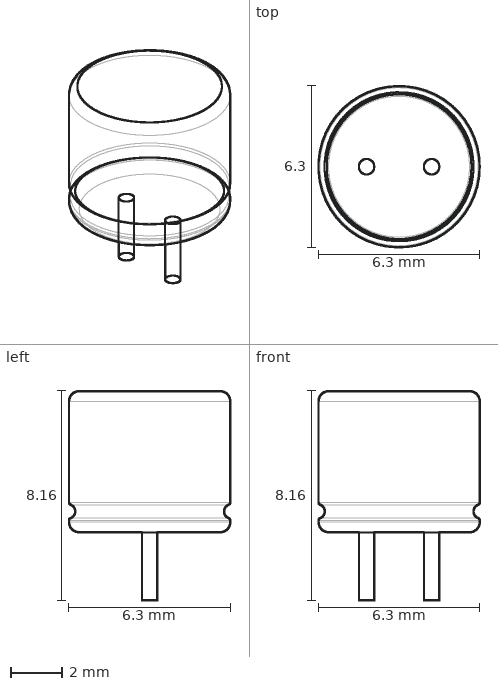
import cadquery as cq
import math

total_height = 8.16
can_radius = 3.15
lead_length = 2.65
edge_radius = 0.4

lead_diameter = 0.6
lead_spacing = 2.54
lead_embed = 0.16

groove_z = 3.47
groove_radius = 0.28
lip_radius = 0.1
lip_offset = 0.35

cover_radius = 2.82
cover_thickness = 0.08


def make_can():
    """Revolve the can profile, drawn as (radius, z), about the Z axis."""
    center_distance = groove_radius + lip_radius
    lip_center_r = can_radius - lip_radius
    groove_center_r = lip_center_r + math.sqrt(center_distance**2 - lip_offset**2)
    groove_floor_r = groove_center_r - groove_radius

    share = lip_radius / center_distance
    joint_r = lip_center_r + share * (groove_center_r - lip_center_r)
    joint_offset = lip_offset * (1 - share)

    half_angle = math.atan2(lip_offset, groove_center_r - lip_center_r) / 2
    lip_mid_r = lip_center_r + lip_radius * math.cos(half_angle)
    lip_mid_offset = lip_offset - lip_radius * math.sin(half_angle)

    edge_mid = edge_radius * (1 - math.sqrt(0.5))
    flat_radius = can_radius - edge_radius
    return (
        cq.Workplane("XZ")
        .moveTo(0, lead_length)
        .lineTo(flat_radius, lead_length)
        .threePointArc(
            (can_radius - edge_mid, lead_length + edge_mid),
            (can_radius, lead_length + edge_radius),
        )
        .lineTo(can_radius, groove_z - lip_offset)
        .threePointArc((lip_mid_r, groove_z - lip_mid_offset), (joint_r, groove_z - joint_offset))
        .threePointArc((groove_floor_r, groove_z), (joint_r, groove_z + joint_offset))
        .threePointArc((lip_mid_r, groove_z + lip_mid_offset), (can_radius, groove_z + lip_offset))
        .lineTo(can_radius, total_height - edge_radius)
        .threePointArc(
            (can_radius - edge_mid, total_height - edge_mid),
            (flat_radius, total_height),
        )
        .lineTo(0, total_height)
        .close()
        .revolve(360, (0, 0, 0), (0, 1, 0))
    )


def make_leads():
    """Two round leads on the X axis, running up into the can."""
    return (
        cq.Workplane("XY")
        .pushPoints([(-lead_spacing / 2, 0), (lead_spacing / 2, 0)])
        .circle(lead_diameter / 2)
        .extrude(lead_length + lead_embed)
    )


def make_cover():
    """Flat disc whose rim leaves a fine step where the top edge rounds away."""
    return (
        cq.Workplane("XY")
        .workplane(offset=total_height - cover_thickness)
        .circle(cover_radius)
        .extrude(cover_thickness)
    )


result = make_can().union(make_cover()).union(make_leads())